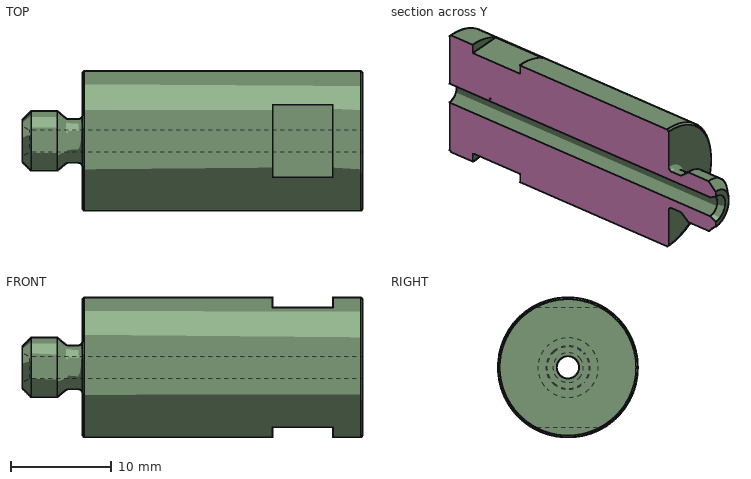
import cadquery as cq
import math

TOTAL_LENGTH = 34.0
TIP_X = -TOTAL_LENGTH / 2

BODY_LENGTH = 28.0
BODY_RADIUS = 7.0
BODY_CHAMFER = 0.2

STUD_LENGTH = TOTAL_LENGTH - BODY_LENGTH
HEAD_RADIUS = 3.0
HEAD_END = 3.5
TIP_CHAMFER = 0.9
NECK_RADIUS = 2.2
NECK_FILLET = 0.4
SHOULDER_ANGLE = 40.0

BORE_RADIUS = 1.1
COUNTERSINK_RADIUS = 1.5
COUNTERSINK_ANGLE = 60.0
COUNTERSINK_DEPTH = (COUNTERSINK_RADIUS - BORE_RADIUS) / math.tan(math.radians(COUNTERSINK_ANGLE / 2))

FLAT_DISTANCE = 12.0
FLAT_WIDTH = 6.0
FLAT_END_GAP = 3.0


def make_body():
    """Plain cylinder with both rims chamfered."""
    return (
        cq.Workplane("YZ", origin=(TIP_X + STUD_LENGTH, 0, 0))
        .circle(BODY_RADIUS)
        .extrude(BODY_LENGTH)
        .edges()
        .chamfer(BODY_CHAMFER)
    )


def make_stud():
    """Revolved stud; fillets blend the neck into the head cone and the body face."""
    slope = math.radians(SHOULDER_ANGLE)
    cone_length = (HEAD_RADIUS - NECK_RADIUS) / math.tan(slope)
    tangent_length = NECK_FILLET * math.tan(slope / 2)

    neck_start = HEAD_END + cone_length + tangent_length
    cone_fillet_x = neck_start - NECK_FILLET * math.sin(slope)
    cone_fillet_r = NECK_RADIUS + NECK_FILLET * (1 - math.cos(slope))
    cone_mid_x = neck_start - NECK_FILLET * math.sin(slope / 2)
    cone_mid_r = NECK_RADIUS + NECK_FILLET * (1 - math.cos(slope / 2))

    neck_end = STUD_LENGTH - NECK_FILLET
    half_quarter = math.radians(45)
    root_mid_x = neck_end + NECK_FILLET * math.sin(half_quarter)
    root_mid_r = NECK_RADIUS + NECK_FILLET * (1 - math.cos(half_quarter))

    return (
        cq.Workplane("XY", origin=(TIP_X, 0, 0))
        .lineTo(0, HEAD_RADIUS - TIP_CHAMFER)
        .lineTo(TIP_CHAMFER, HEAD_RADIUS)
        .lineTo(HEAD_END, HEAD_RADIUS)
        .lineTo(cone_fillet_x, cone_fillet_r)
        .threePointArc((cone_mid_x, cone_mid_r), (neck_start, NECK_RADIUS))
        .lineTo(neck_end, NECK_RADIUS)
        .threePointArc((root_mid_x, root_mid_r), (STUD_LENGTH, NECK_RADIUS + NECK_FILLET))
        .lineTo(STUD_LENGTH, 0)
        .close()
        .revolve(360, (0, 0, 0), (1, 0, 0))
    )


def make_bore():
    """Through bore with its conical mouth at the stud tip."""
    return (
        cq.Workplane("XY", origin=(TIP_X, 0, 0))
        .lineTo(0, COUNTERSINK_RADIUS)
        .lineTo(COUNTERSINK_DEPTH, BORE_RADIUS)
        .lineTo(TOTAL_LENGTH, BORE_RADIUS)
        .lineTo(TOTAL_LENGTH, 0)
        .close()
        .revolve(360, (0, 0, 0), (1, 0, 0))
    )


def make_flat_cutter(side):
    """Block that cuts one wrench flat; side is +1 for the top, -1 for the bottom."""
    depth = BODY_RADIUS - FLAT_DISTANCE / 2
    flat_center_x = TIP_X + TOTAL_LENGTH - FLAT_END_GAP - FLAT_WIDTH / 2
    block_center_z = side * (FLAT_DISTANCE / 2 + depth / 2)
    return cq.Workplane("XY").box(FLAT_WIDTH, 2 * BODY_RADIUS, depth).translate(
        (flat_center_x, 0, block_center_z)
    )


result = make_body().union(make_stud()).cut(make_bore())
for side in (1, -1):
    result = result.cut(make_flat_cutter(side))